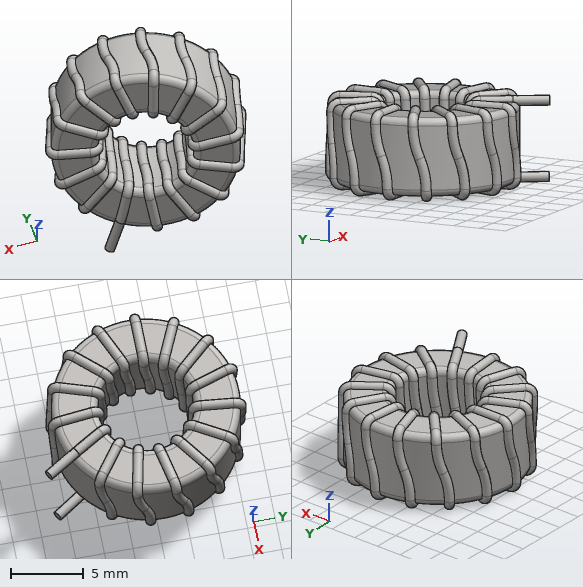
import cadquery as cq
import math


core_outer_radius = 6.5
core_inner_radius = 3.3
core_height = 5.48
core_edge_radius = 0.5

wire_diameter = 0.7
wire_lift = 0.022

turn_count = 15
pitch_angle = 360 / turn_count
span_angle = pitch_angle / 6
wall_angle = pitch_angle / 3

gap_angle = -60
bottom_lead_angle = gap_angle + wall_angle / 2
top_lead_angle = gap_angle - wall_angle / 2
bottom_lead_heading = bottom_lead_angle
top_lead_heading = -58
lead_length = 2.54
lead_start_radius = core_outer_radius - core_edge_radius

wire_radius = wire_diameter / 2
bend_radius = core_edge_radius + wire_lift
outer_wall_radius = core_outer_radius + wire_lift
bore_wall_radius = core_inner_radius - wire_lift
face_z = core_height / 2 + wire_lift
wall_z = face_z - bend_radius


def polar(radius, angle, z):
    """Point at a radius and an angle about the core's axis."""
    turn = math.radians(angle)
    return cq.Vector(radius * math.cos(turn), radius * math.sin(turn), z)


def heading(angle):
    """Horizontal unit vector at an angle from +X."""
    return polar(1, angle, 0)


bottom_lead_start = polar(lead_start_radius, bottom_lead_angle, -face_z)
top_lead_start = polar(lead_start_radius, top_lead_angle, face_z)


def bend(on_wall, inward, side):
    """Quarter circle from a wall to a flat face; side is +1 at the top and -1 at the bottom."""
    up = cq.Vector(0, 0, side)
    centre = on_wall + inward * bend_radius
    middle = centre + (up - inward) * (bend_radius * math.sqrt(0.5))
    on_face = centre + up * bend_radius
    return cq.Edge.makeThreePointArc(on_wall, middle, on_face)


def crossing(start_radius, end_radius, angle, side):
    """Path from wall to wall over a flat face: a bend, a straight span and a bend."""
    start = polar(start_radius, angle, side * wall_z)
    end = polar(end_radius, angle + span_angle, side * wall_z)
    across = (end - start).normalized()
    first_bend = bend(start, across, side)
    last_bend = bend(end, -across, side)
    span = cq.Edge.makeLine(first_bend.endPoint(), last_bend.endPoint())
    return [first_bend, span, last_bend]


def wall_pass(radius, angle, rise):
    """S-shaped path of two arcs along a wall; rise is +1 for up and -1 for down."""
    start = polar(radius, angle, -rise * wall_z)
    end = polar(radius, angle + wall_angle, rise * wall_z)
    middle = (start + end) * 0.5
    first_arc = cq.Edge.makeTangentArc(start, cq.Vector(0, 0, rise), middle)
    last_arc = cq.Edge.makeTangentArc(end, cq.Vector(0, 0, -rise), middle)
    return [first_arc, last_arc]


def lead_span(lead_start, lead_vector, bore_angle, outer_angle, side):
    """Path between a lead and the bore: a curved span and a bend."""
    on_wall = polar(bore_wall_radius, bore_angle, side * wall_z)
    outward = (polar(outer_wall_radius, outer_angle, side * wall_z) - on_wall).normalized()
    bore_bend = bend(on_wall, outward, side)
    span = cq.Edge.makeSpline([bore_bend.endPoint(), lead_start], tangents=[outward, lead_vector])
    return [bore_bend, span]


def winding_path():
    """Centreline from the bottom lead to the top lead."""
    bore_start = bottom_lead_angle + span_angle
    edges = lead_span(bottom_lead_start, heading(bottom_lead_heading), bore_start, bottom_lead_angle, -1)
    for turn in range(turn_count):
        bore_bottom = bore_start + turn * pitch_angle
        bore_top = bore_bottom + wall_angle
        edges += wall_pass(bore_wall_radius, bore_bottom, 1)
        if turn < turn_count - 1:
            outer_top = bore_top + span_angle
            outer_bottom = outer_top + wall_angle
            edges += crossing(bore_wall_radius, outer_wall_radius, bore_top, 1)
            edges += wall_pass(outer_wall_radius, outer_top, -1)
            edges += crossing(outer_wall_radius, bore_wall_radius, outer_bottom, -1)
    bore_end = top_lead_angle - span_angle
    edges += lead_span(top_lead_start, heading(top_lead_heading), bore_end, top_lead_angle, 1)
    return cq.Wire.assembleEdges(edges)


def make_winding():
    """The wire swept round the core."""
    plane = cq.Plane(origin=bottom_lead_start, normal=-heading(bottom_lead_heading))
    return cq.Workplane(plane).circle(wire_radius).sweep(winding_path())


def make_lead(start, lead_heading):
    """Straight wire end starting where the winding leaves a flat face."""
    plane = cq.Plane(origin=start, normal=heading(lead_heading))
    return cq.Workplane(plane).circle(wire_radius).extrude(lead_length)


def make_core(wires):
    """Ring with rounded edges and a groove for every wire."""
    base = cq.Workplane("XY", origin=(0, 0, -core_height / 2))
    ring = base.circle(core_outer_radius).circle(core_inner_radius).extrude(core_height)
    ring = ring.faces("|Z").edges().fillet(core_edge_radius)
    for wire in wires:
        ring = ring.cut(wire)
    return ring.solids()


winding = make_winding()
leads = [
    make_lead(bottom_lead_start, bottom_lead_heading),
    make_lead(top_lead_start, top_lead_heading),
]
core = make_core([winding, *leads])

result = cq.Compound.makeCompound([core.val(), winding.val(), *[lead.val() for lead in leads]])